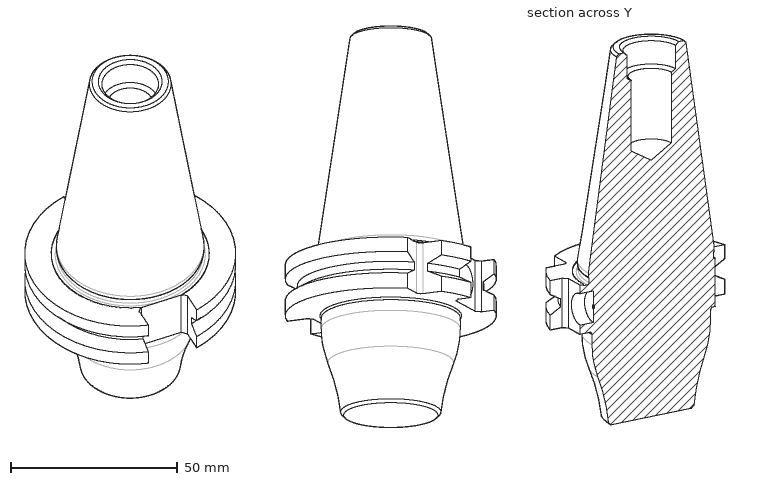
import cadquery as cq
import math

total_height = 118.4
nose_arc_split = 16.3
nose_arc_top = 27.0
flange_bottom = 31.0
flange_top = 46.9
gauge_height = 50.2
groove_height = 39.1

nose_radius = 21.0
nose_split_radius = 19.0
nose_tip_radius = 15.2
nose_chamfer = 1.0
nose_root_step = 0.4
nose_root_height = 0.7

flange_radius = 63.6 / 2
groove_radius = 28.2
groove_mouth = 6.6
groove_floor = groove_mouth - 2 * (flange_radius - groove_radius) * math.tan(math.radians(30))
neck_radius = 22.0
recess_radius = 23.8
recess_depth = 0.4
neck_fillet = 0.6

gauge_radius = 22.3
gauge_land = 1.3
land_bevel = 0.4
taper_end_radius = gauge_radius - (total_height - gauge_height) * 7 / 48
taper_chamfer = 0.8

bore_radius = 8.5
bore_chamfer = 1.1
bore_depth = 8.5
thread_radius = 7.0
thread_lead_in = 0.8
thread_depth = 32.0
drill_half_angle = math.radians(59)

slot_width = 16.0
slot_chamfer = 1.4
left_slot_floor = 25.1
right_slot_floor = 22.6
notch_offset = 18.4
notch_fillet = 1.4
chip_radius = 5.0
chip_depth = 4.6
chip_dimple_radius = 0.5


def make_body():
    """Revolve the nose, flange and taper."""
    nose_drop = nose_arc_top - nose_arc_split
    nose_inset = nose_radius - nose_split_radius
    upper_arc_radius = (nose_drop**2 + nose_inset**2) / (2 * nose_inset)
    mid_drop = nose_drop / 2
    mid_inset = upper_arc_radius - math.sqrt(upper_arc_radius**2 - mid_drop**2)
    profile = (
        cq.Workplane("XZ")
        .moveTo(nose_radius, nose_arc_top)
        .threePointArc(
            (nose_radius - mid_inset, nose_arc_top - mid_drop),
            (nose_split_radius, nose_arc_split),
        )
        .tangentArcPoint((nose_tip_radius, nose_chamfer), relative=False)
        .lineTo(nose_tip_radius - nose_chamfer, 0)
        .lineTo(0, 0)
        .lineTo(0, total_height)
        .lineTo(taper_end_radius - taper_chamfer, total_height)
        .lineTo(taper_end_radius, total_height - taper_chamfer)
        .lineTo(gauge_radius, gauge_height)
        .lineTo(gauge_radius, gauge_height - gauge_land)
        .lineTo(neck_radius, gauge_height - gauge_land - land_bevel)
        .lineTo(neck_radius, flange_top - recess_depth + neck_fillet)
        .radiusArc((neck_radius + neck_fillet, flange_top - recess_depth), -neck_fillet)
        .lineTo(recess_radius, flange_top - recess_depth)
        .lineTo(recess_radius, flange_top)
        .lineTo(flange_radius, flange_top)
        .lineTo(flange_radius, groove_height + groove_mouth / 2)
        .lineTo(groove_radius, groove_height + groove_floor / 2)
        .lineTo(groove_radius, groove_height - groove_floor / 2)
        .lineTo(flange_radius, groove_height - groove_mouth / 2)
        .lineTo(flange_radius, flange_bottom)
        .lineTo(nose_radius + nose_root_step, flange_bottom)
        .lineTo(nose_radius, flange_bottom - nose_root_height)
        .close()
    )
    return profile.revolve(360, (0, 0, 0), (0, 1, 0))


def make_bore():
    """Stepped bore from the taper end with a drill-point bottom."""
    thread_bottom = total_height - thread_depth
    drill_tip = thread_bottom - thread_radius / math.tan(drill_half_angle)
    profile = (
        cq.Workplane("XZ")
        .moveTo(0, total_height)
        .lineTo(bore_radius + bore_chamfer, total_height)
        .lineTo(bore_radius, total_height - bore_chamfer)
        .lineTo(bore_radius, total_height - bore_depth)
        .lineTo(thread_radius, total_height - bore_depth - thread_lead_in)
        .lineTo(thread_radius, thread_bottom)
        .lineTo(0, drill_tip)
        .close()
    )
    return profile.revolve(360, (0, 0, 0), (0, 1, 0))


def flange_block(x_min, x_max, y_min, y_max):
    """Box spanning the flange thickness."""
    return cq.Workplane("XY").box(
        x_max - x_min, y_max - y_min, flange_top - flange_bottom, centered=False
    ).translate((x_min, y_min, flange_bottom))


def make_slot(side, floor):
    """Drive slot on the +X (side = 1) or -X (side = -1) edge of the flange."""
    x_min, x_max = sorted((side * floor, side * flange_radius))
    block = flange_block(x_min, x_max, -slot_width / 2, slot_width / 2)
    inner_face = "<X" if side > 0 else ">X"
    return block.faces(inner_face).edges("|Z").chamfer(slot_chamfer)


def make_notch():
    """Orientation notch at the -X, +Y corner of the flange."""
    block = flange_block(-flange_radius, -notch_offset, notch_offset, flange_radius)
    return block.edges("|Z and >X and <Y").fillet(notch_fillet)


def make_chip_pocket():
    """Round pocket in the -X slot floor with a small centre dimple."""
    slot_floor = cq.Workplane("YZ", origin=(-left_slot_floor, 0, groove_height))
    pocket = slot_floor.circle(chip_radius).extrude(chip_depth)
    dimple = slot_floor.circle(chip_dimple_radius).extrude(chip_depth + chip_dimple_radius)
    return pocket.union(dimple)


result = (
    make_body()
    .cut(make_bore())
    .cut(make_slot(-1, left_slot_floor))
    .cut(make_slot(1, right_slot_floor))
    .cut(make_notch())
    .cut(make_chip_pocket())
)